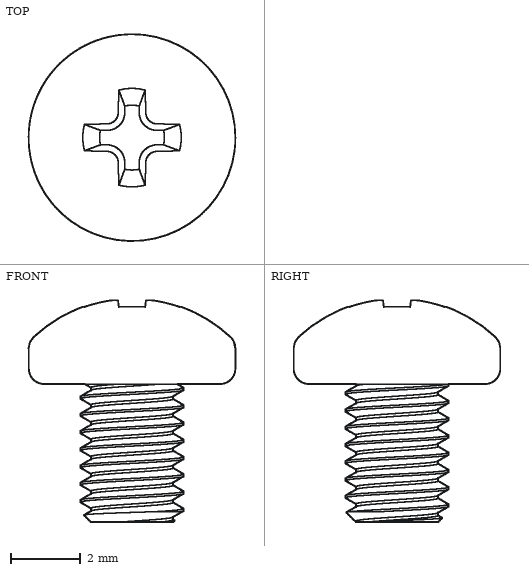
import cadquery as cq
import math

head_radius = 3.0
head_apex_height = 2.495
head_side_height = 1.226
head_edge_radius = 0.45

shank_length = 4.0
thread_major_radius = 1.5
thread_pitch = 0.5
sharp_thread_height = math.sqrt(3) / 2 * thread_pitch
thread_depth = 17 / 24 * sharp_thread_height
thread_minor_radius = thread_major_radius - thread_depth
flank_half_angle = math.radians(30)
crest_width = thread_pitch / 8
first_crest_depth = 0.14

recess_floor_height = 0.75
arm_floor_half_width = 0.21
arm_wall_draft = 6.5
arm_corner_radius = 0.51
recess_floor_radius = 0.94
recess_end_angle = 18.1

clearance = 0.02

overrun_turns = 3


def make_head():
    """Revolved disc with a spherical top and rounded edges."""
    dome_rise = head_apex_height - head_side_height
    dome_radius = (head_radius**2 + dome_rise**2) / (2 * dome_rise)
    mid_radius = head_radius / 2
    mid_drop = dome_radius - math.sqrt(dome_radius**2 - mid_radius**2)
    blank = (
        cq.Workplane("XZ")
        .lineTo(head_radius, 0)
        .lineTo(head_radius, head_side_height)
        .threePointArc((mid_radius, head_apex_height - mid_drop), (0, head_apex_height))
        .close()
        .revolve(360, (0, 0), (0, 1))
    )
    return blank.edges("%CIRCLE").fillet(head_edge_radius)


def helical_band(start, end):
    """One turn of the ruled face swept by a profile side, given as (radius, height) ends."""
    edges = []
    for radius, height in (start, end):
        helix = cq.Wire.makeHelix(thread_pitch, thread_pitch, radius)
        edges.append(helix.Edges()[0].translate(cq.Vector(0, 0, height)))
    return cq.Face.makeRuledSurface(*edges)


def make_thread():
    """Right-handed threaded rod that overruns the shank at both ends."""
    turns = math.ceil(shank_length / thread_pitch) + overrun_turns
    flank_height = thread_depth * math.tan(flank_half_angle)
    crest_bottom = -first_crest_depth - (turns - 1) * thread_pitch - crest_width / 2
    crest_top = crest_bottom + crest_width
    first_root = crest_bottom - flank_height
    profile = [
        (thread_minor_radius, first_root),
        (thread_major_radius, crest_bottom),
        (thread_major_radius, crest_top),
        (thread_minor_radius, crest_top + flank_height),
        (thread_minor_radius, first_root + thread_pitch),
    ]
    one_turn = [helical_band(start, end) for start, end in zip(profile, profile[1:])]

    axis_start = cq.Vector(0, 0, first_root)
    axis_end = cq.Vector(0, 0, first_root + thread_pitch)
    root_helix = cq.Wire.makeHelix(thread_pitch, thread_pitch, thread_minor_radius)
    helicoid = cq.Face.makeRuledSurface(
        cq.Edge.makeLine(axis_start, axis_end),
        root_helix.Edges()[0].translate(axis_start),
    )
    profile_corners = [cq.Vector(radius, 0, height) for radius, height in profile]
    step_corners = [axis_start, *profile_corners, axis_end]
    step = cq.Face.makeFromWires(cq.Wire.makePolygon(step_corners, close=True))

    faces = []
    for turn in range(turns):
        rise = cq.Vector(0, 0, turn * thread_pitch)
        faces += [band.translate(rise) for band in one_turn]
    for rise in (cq.Vector(0, 0, 0), cq.Vector(0, 0, turns * thread_pitch)):
        faces += [helicoid.translate(rise), step.translate(rise)]
    return cq.Workplane(cq.Solid.makeSolid(cq.Shell.makeShell(faces)))


def make_shank():
    """Thread with its tip bevelled at 45 degrees down to the thread root."""
    envelope_radius = thread_major_radius + thread_depth
    bevel_height = envelope_radius - thread_minor_radius
    envelope = (
        cq.Workplane("XY")
        .circle(envelope_radius)
        .extrude(-shank_length)
        .faces("<Z")
        .chamfer(bevel_height)
    )
    return make_thread().intersect(envelope)


def quarter_turned(point, quarters):
    """Point in the XY plane turned about the axis by a number of right angles."""
    x, y = point
    for _ in range(quarters):
        x, y = -y, x
    return (x, y)


def make_recess():
    """Drafted cross with rounded inner corners, its arms ended by a cone."""
    depth = head_apex_height - recess_floor_height + clearance
    mouth_radius = recess_floor_radius + depth * math.tan(math.radians(recess_end_angle))
    half_width = arm_floor_half_width
    corner_start = half_width + arm_corner_radius
    corner_middle = corner_start - arm_corner_radius * math.sqrt(0.5)

    arm_corners = [(mouth_radius, -half_width), (mouth_radius, half_width), (corner_start, half_width)]
    cross = cq.Workplane("XY", origin=(0, 0, recess_floor_height)).moveTo(corner_start, -half_width)
    for quarter in range(4):
        for arm_corner in arm_corners:
            cross = cross.lineTo(*quarter_turned(arm_corner, quarter))
        cross = cross.threePointArc(
            quarter_turned((corner_middle, corner_middle), quarter),
            quarter_turned((half_width, corner_start), quarter),
        )
    cross = cross.close().extrude(depth, taper=-arm_wall_draft)

    end_cone = cq.Solid.makeCone(
        recess_floor_radius, mouth_radius, depth, cq.Vector(0, 0, recess_floor_height)
    )
    return cross.intersect(cq.Workplane(end_cone))


result = make_head().cut(make_recess()).union(make_shank())